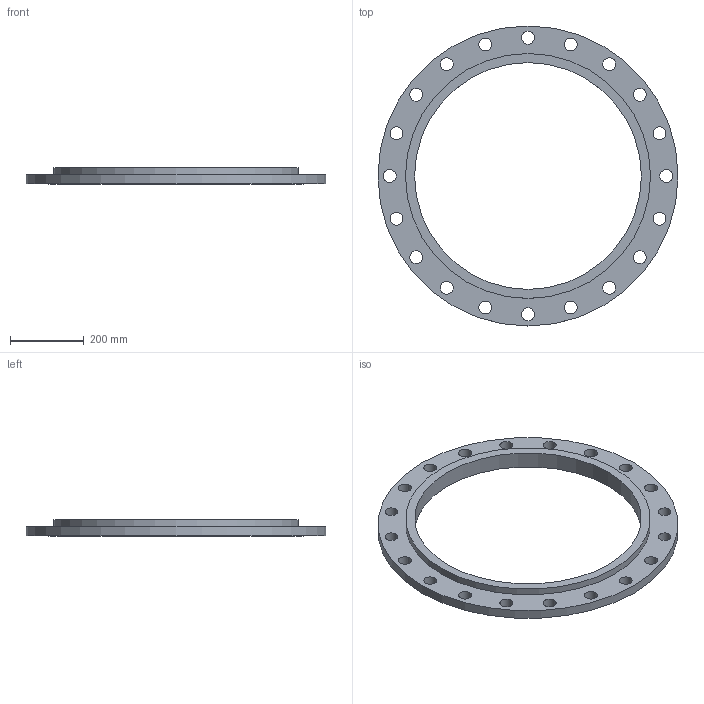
import cadquery as cq
import math

INCH = 25.4

flange_diameter = 32 * INCH
flange_thickness = 1 * INCH
raised_face_diameter = 27.25 * INCH
raised_face_height = INCH / 16
hub_diameter = 26.125 * INCH
hub_height = 0.75 * INCH
bore_diameter = 24.19 * INCH

bolt_circle_diameter = 29.5 * INCH
bolt_hole_diameter = 1.375 * INCH
bolt_count = 20

flange_bottom = raised_face_height
flange_top = flange_bottom + flange_thickness
hub_top = flange_top + hub_height


def make_disc(diameter, bottom, top):
    """Solid disc on the Z axis between two levels."""
    return cq.Workplane("XY").workplane(offset=bottom).circle(diameter / 2).extrude(top - bottom)


def make_ring():
    raised_face = make_disc(raised_face_diameter, 0, flange_bottom)
    flange = make_disc(flange_diameter, flange_bottom, flange_top)
    hub = make_disc(hub_diameter, flange_top, hub_top)
    bore = make_disc(bore_diameter, 0, hub_top)
    return raised_face.union(flange).union(hub).cut(bore)


def cut_bolt_holes(body):
    radius = bolt_circle_diameter / 2
    for index in range(bolt_count):
        angle = 2 * math.pi * index / bolt_count
        center = (radius * math.cos(angle), radius * math.sin(angle), 0)
        body = body.cut(make_disc(bolt_hole_diameter, 0, flange_top).translate(center))
    return body


result = cut_bolt_holes(make_ring())